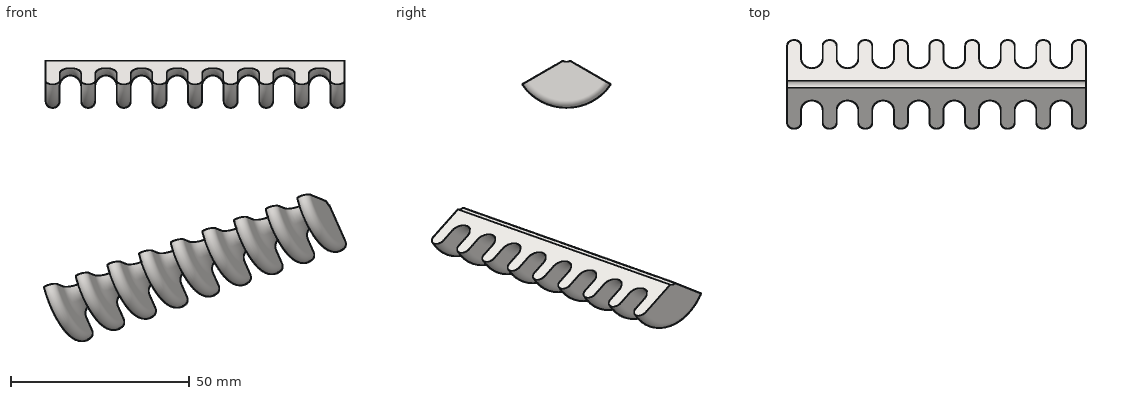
import cadquery as cq
import math

length = 84.0
tooth_count = 9
gap_to_tooth = 1.5
outer_radius = 15.0
root_radius = 6.0
groove_radius = 2.0
face_slope = 30.0
face_offset = 1.0

gap_count = tooth_count - 1
tooth_width = length / (tooth_count + gap_count * gap_to_tooth)
gap_width = tooth_width * gap_to_tooth
pitch = tooth_width + gap_width
tooth_round = tooth_width / 2
gap_round = gap_width / 2


def comb_outline():
    """Half section of the comb in XY, with round tooth tips and round gap bottoms."""
    straight_end = outer_radius - tooth_round
    outline = cq.Workplane("XY").moveTo(0, groove_radius).lineTo(0, straight_end)
    for tooth in range(tooth_count):
        left = tooth * pitch
        right = left + tooth_width
        outline = outline.threePointArc((left + tooth_round, outer_radius), (right, straight_end))
        if tooth < gap_count:
            gap_start = root_radius + gap_round
            outline = (
                outline.lineTo(right, gap_start)
                .threePointArc((right + gap_round, root_radius), (right + gap_width, gap_start))
                .lineTo(right + gap_width, straight_end)
            )
    return outline.lineTo(length, groove_radius).close()


def sector():
    """Wedge-shaped prism below the two sloping faces, reaching past the tooth tips."""
    slope = math.radians(face_slope)
    apex_z = -face_offset / math.cos(slope)
    reach = 2 * outer_radius
    edge_z = apex_z - reach * math.tan(slope)
    return (
        cq.Workplane("YZ")
        .moveTo(0, apex_z)
        .lineTo(reach, edge_z)
        .lineTo(reach, -2 * reach)
        .lineTo(-reach, -2 * reach)
        .lineTo(-reach, edge_z)
        .close()
        .extrude(length)
    )


turned_comb = comb_outline().revolve(360, (0, 0, 0), (1, 0, 0))
result = turned_comb.intersect(sector())